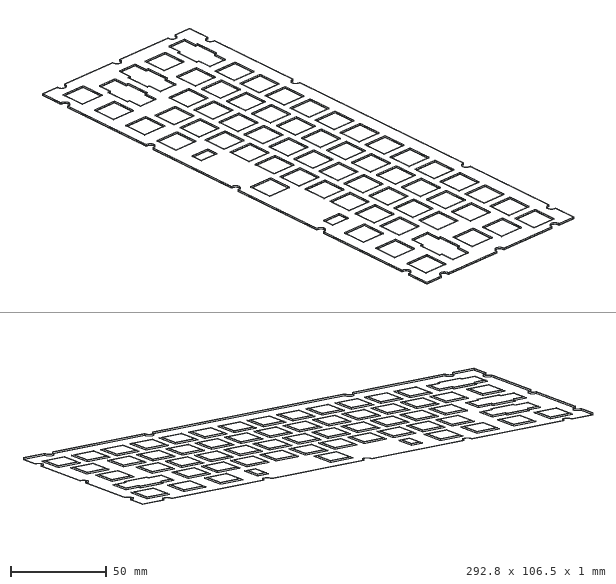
import cadquery as cq

PLATE_LENGTH = 292.8
PLATE_WIDTH = 106.5
PLATE_THICKNESS = 1.0

ROW_LENGTH = 285.7
UNITS_PER_ROW = 15
KEY_UNIT = ROW_LENGTH / UNITS_PER_ROW
ROW_COUNT = 5
GRID_SHIFT_Y = -0.82

STABILIZER_LENGTH = 31.3
STABILIZER_HEIGHT = 11.5
SWITCH_STEP = 1.55
SWITCH_SIZE = STABILIZER_HEIGHT + 2 * SWITCH_STEP
STABILIZED_KEY_MIN_UNITS = 2

SPACE_BAR_UNITS = 6.25
SPACE_WINDOW_LENGTH = 7.0
SPACE_WINDOW_SPACING = 100.0

KEY_ROWS = [
    [2] + [1] * 13,
    [1.5] + [1] * 12 + [1.5],
    [2.25] + [1] * 11 + [1.75],
    [2.75] + [1] * 10 + [2.25],
    [1.25] * 4 + [SPACE_BAR_UNITS] + [1.25] * 3,
]

NOTCH_RADIUS = 2.5
NOTCH_STRAIGHT = 0.5
NOTCH_DEPTH = NOTCH_STRAIGHT + NOTCH_RADIUS
NOTCH_PITCH_X = 65.0
NOTCH_PITCH_Y = 40.0


def box_cutter(length, height, x, y):
    """Rectangular cutter through the plate, centred on (x, y)."""
    return cq.Workplane("XY").center(x, y).rect(length, height).extrude(PLATE_THICKNESS)


def key_cutters(units, x, y):
    """Switch opening of one key, with stabilizer openings if the key is wide."""
    cutters = [box_cutter(SWITCH_SIZE, SWITCH_SIZE, x, y)]
    if units == SPACE_BAR_UNITS:
        for side in (-1, 1):
            window_x = x + side * SPACE_WINDOW_SPACING / 2
            cutters.append(box_cutter(SPACE_WINDOW_LENGTH, STABILIZER_HEIGHT, window_x, y))
    elif units >= STABILIZED_KEY_MIN_UNITS:
        cutters.append(box_cutter(STABILIZER_LENGTH, STABILIZER_HEIGHT, x, y))
    return cutters


def all_key_cutters():
    """Cutters for the whole key grid, placed row by row."""
    cutters = []
    for row, widths in enumerate(KEY_ROWS):
        y = GRID_SHIFT_Y + ((ROW_COUNT - 1) / 2 - row) * KEY_UNIT
        left = -ROW_LENGTH / 2
        for units in widths:
            key_length = units * KEY_UNIT
            cutters += key_cutters(units, left + key_length / 2, y)
            left += key_length
    return cutters


def notch_cutter(x, y, angle):
    """Slot centred on the edge point (x, y), its long axis turned by angle."""
    return (
        cq.Workplane("XY")
        .center(x, y)
        .slot2D(2 * NOTCH_DEPTH, 2 * NOTCH_RADIUS, angle)
        .extrude(PLATE_THICKNESS)
    )


def all_notch_cutters():
    """Notches on all four edges; only the lower long edge has a middle one."""
    half_length = PLATE_LENGTH / 2
    half_width = PLATE_WIDTH / 2
    cutters = [notch_cutter(0, -half_width, 90)]
    for step in (-2, -1, 1, 2):
        for y in (-half_width, half_width):
            cutters.append(notch_cutter(step * NOTCH_PITCH_X, y, 90))
    for step in (-1, 0, 1):
        for x in (-half_length, half_length):
            cutters.append(notch_cutter(x, step * NOTCH_PITCH_Y, 0))
    return cutters


plate = cq.Workplane("XY").rect(PLATE_LENGTH, PLATE_WIDTH).extrude(PLATE_THICKNESS)
openings = [cutter.val() for cutter in all_key_cutters() + all_notch_cutters()]
result = cq.Workplane("XY").newObject([plate.val().cut(*openings)])